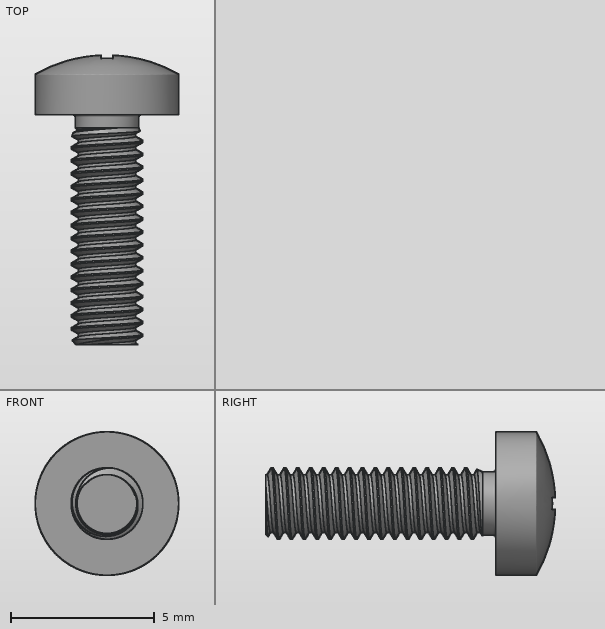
import cadquery as cq
import math

head_diameter = 5.0
head_radius = head_diameter / 2
total_length = 10.08
shank_length = 8.0
dome_height = 0.67
head_height = total_length - shank_length
rim_height = head_height - dome_height
head_edge_round = 0.04

recess_arm_width = 0.4
recess_end_drop = 0.1
recess_depth = head_height / 2
recess_corner_radius = recess_arm_width / math.sqrt(2)

dome_center = (
    head_height**2 + recess_corner_radius**2 - rim_height**2 - head_radius**2
) / (2 * dome_height)
dome_radius = math.hypot(head_radius, rim_height - dome_center)
dome_apex = dome_center + dome_radius

recess_arm_reach = math.sqrt(dome_radius**2 - (head_height - recess_end_drop - dome_center) ** 2)

neck_radius = 1.11
neck_length = 0.44
neck_fillet = 0.08

pitch = 0.45
thread_radius = 1.25
thread_depth = 0.24
root_radius = thread_radius - thread_depth
root_flat = pitch / 4
crest_flat = pitch / 8
groove_to_tip = 0.11

blank_radius = thread_radius + 0.03
runout_length = pitch
tip_chamfer_length = 0.24
tip_edge_radius = 1.09
tip_bevel_length = 0.02
tip_face_radius = 1.04

root_overlap = 0.02


def make_head():
    """Disc standing on the XY plane, crowned by a spherical dome and rounded at both rims."""
    middle_radius = head_radius / 2
    middle_height = dome_center + math.sqrt(dome_radius**2 - middle_radius**2)
    head = (
        cq.Workplane("XZ")
        .lineTo(head_radius, 0)
        .lineTo(head_radius, rim_height)
        .threePointArc((middle_radius, middle_height), (0, dome_apex))
        .close()
        .revolve(360, (0, 0), (0, 1))
    )
    return head.edges("%CIRCLE").fillet(head_edge_round)


def make_recess():
    """Two crossed arms reaching down into the head from above the dome."""
    floor = cq.Workplane("XY").workplane(offset=head_height - recess_depth)
    arm_length = 2 * recess_arm_reach
    along_x = floor.rect(arm_length, recess_arm_width).extrude(head_height)
    along_y = floor.rect(recess_arm_width, arm_length).extrude(head_height)
    return along_x.union(along_y)


def make_neck():
    """Neck with a concave fillet under the head and a cone buried in the thread."""
    cone_drop = neck_radius - root_radius + root_overlap
    arc_offset = neck_fillet * (1 - math.sqrt(0.5))
    return (
        cq.Workplane("XZ")
        .lineTo(neck_radius + neck_fillet, 0)
        .threePointArc((neck_radius + arc_offset, -arc_offset), (neck_radius, -neck_fillet))
        .lineTo(neck_radius, -neck_length)
        .lineTo(neck_radius - cone_drop, -neck_length - cone_drop)
        .lineTo(0, -neck_length - cone_drop)
        .close()
        .revolve(360, (0, 0), (0, 1))
    )


def make_thread_blank():
    """Envelope of the thread: clear of the crests, tapered at the run-out and the tip."""
    return (
        cq.Workplane("XZ")
        .moveTo(0, -neck_length)
        .lineTo(neck_radius, -neck_length)
        .lineTo(blank_radius, -neck_length - runout_length)
        .lineTo(blank_radius, tip_chamfer_length - shank_length)
        .lineTo(tip_edge_radius, tip_bevel_length - shank_length)
        .lineTo(tip_face_radius, -shank_length)
        .lineTo(0, -shank_length)
        .close()
        .revolve(360, (0, 0), (0, 1))
    )


def make_thread_rod():
    """Overlong threaded rod, sewn from one-turn helical strips and closed at both ends."""
    start = groove_to_tip - root_flat / 2 - shank_length - 2 * pitch
    turns = math.ceil((-neck_length - start) / pitch)
    flank = (pitch - root_flat - crest_flat) / 2
    profile = [
        (root_radius, start),
        (root_radius, start + root_flat),
        (thread_radius, start + root_flat + flank),
        (thread_radius, start + root_flat + flank + crest_flat),
        (root_radius, start + pitch),
    ]
    one_turn = [
        helical_strip(helix_turn(*lower), helix_turn(*upper))
        for lower, upper in zip(profile, profile[1:])
    ]

    axis = cq.Edge.makeLine(cq.Vector(0, 0, start), cq.Vector(0, 0, start + pitch))
    helicoid = helical_strip(axis, helix_turn(*profile[0]))
    corners = [(0, start), *profile, (0, start + pitch)]
    outline = cq.Wire.makePolygon([cq.Vector(r, 0, z) for r, z in corners], close=True)
    stepped_end = [helicoid, cq.Face.makeFromWires(outline)]

    faces = [
        face.translate(cq.Vector(0, 0, turn * pitch))
        for turn in range(turns)
        for face in one_turn
    ]
    for turn in (0, turns):
        faces += [face.translate(cq.Vector(0, 0, turn * pitch)) for face in stepped_end]
    return cq.Workplane(cq.Solid.makeSolid(cq.Shell.makeShell(faces)))


def helix_turn(radius, height):
    """One right-hand turn starting over the +X axis at the given height."""
    return cq.Wire.makeHelix(pitch, pitch, radius, center=cq.Vector(0, 0, height)).Edges()[0]


def helical_strip(lower, upper):
    """Face spanned by straight lines between two edges."""
    return cq.Face.makeRuledSurface(lower, upper)


head = make_head().cut(make_recess())
thread = make_thread_rod().intersect(make_thread_blank())
screw = thread.union(make_neck()).union(head)

result = screw.rotate((0, 0, 0), (1, 0, 0), -90)